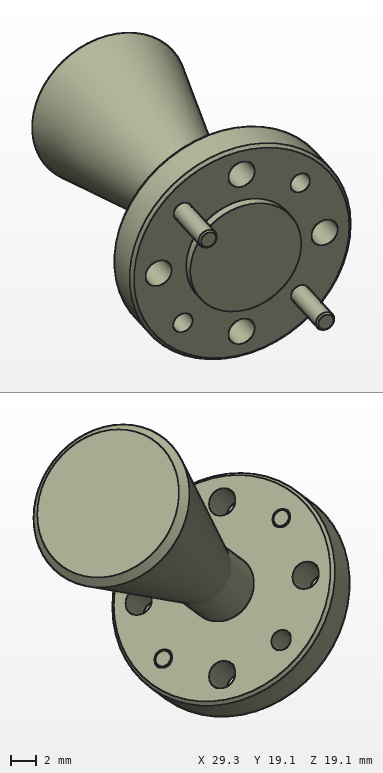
import cadquery as cq
import math

total_length = 29.27
neck_start = 17.04
flange_start = 21.3
flange_thickness = 3.3
boss_height = 0.75
flange_end = flange_start + flange_thickness
boss_end = flange_end + boss_height

mouth_radius = 6.67
mouth_chamfer = 0.61
neck_radius = 2.72
flange_radius = 19.05 / 2
flange_chamfer = 0.25
boss_radius = 4.77

pitch_radius = 7.15
screw_hole_diameter = 2.25
clearance_hole_diameter = 1.67
pin_diameter = 1.58
pin_chamfer = 0.15
pin_hole_diameter = 1.5

screw_hole_angles = [0, 90, 180, 270]
clearance_hole_angles = [45, 225]
pin_angles = [135, 315]


def pitch_points(angles):
    """Places on the pitch circle at the given angles in degrees."""
    return [
        (pitch_radius * math.cos(math.radians(a)), pitch_radius * math.sin(math.radians(a)))
        for a in angles
    ]


def make_turned_blank():
    """Horn, neck, flange and rear boss turned about the X axis."""
    return (
        cq.Workplane("XY")
        .moveTo(0, 0)
        .lineTo(0, mouth_radius - mouth_chamfer)
        .lineTo(mouth_chamfer, mouth_radius)
        .lineTo(neck_start, neck_radius)
        .lineTo(flange_start, neck_radius)
        .lineTo(flange_start, flange_radius - flange_chamfer)
        .lineTo(flange_start + flange_chamfer, flange_radius)
        .lineTo(flange_end - flange_chamfer, flange_radius)
        .lineTo(flange_end, flange_radius - flange_chamfer)
        .lineTo(flange_end, boss_radius)
        .lineTo(boss_end, boss_radius)
        .lineTo(boss_end, 0)
        .close()
        .revolve(360, (0, 0, 0), (1, 0, 0))
    )


def flange_drills(angles, diameter):
    """Cylinders through the flange thickness at the given angles."""
    return (
        cq.Workplane("YZ", origin=(flange_start, 0, 0))
        .pushPoints(pitch_points(angles))
        .circle(diameter / 2)
        .extrude(flange_thickness)
    )


def make_pin(y, z):
    """Alignment pin, flush with the horn side of the flange and chamfered at both ends."""
    return (
        cq.Workplane("YZ", origin=(flange_start, 0, 0))
        .center(y, z)
        .circle(pin_diameter / 2)
        .extrude(total_length - flange_start)
        .faces("<X or >X")
        .chamfer(pin_chamfer)
    )


pins = [make_pin(y, z).val() for y, z in pitch_points(pin_angles)]

horn = (
    make_turned_blank()
    .cut(flange_drills(screw_hole_angles, screw_hole_diameter))
    .cut(flange_drills(clearance_hole_angles, clearance_hole_diameter))
    .cut(flange_drills(pin_angles, pin_hole_diameter))
)

for pin in pins:
    horn = horn.cut(cq.Workplane(pin))

result = cq.Compound.makeCompound([horn.val(), *pins])